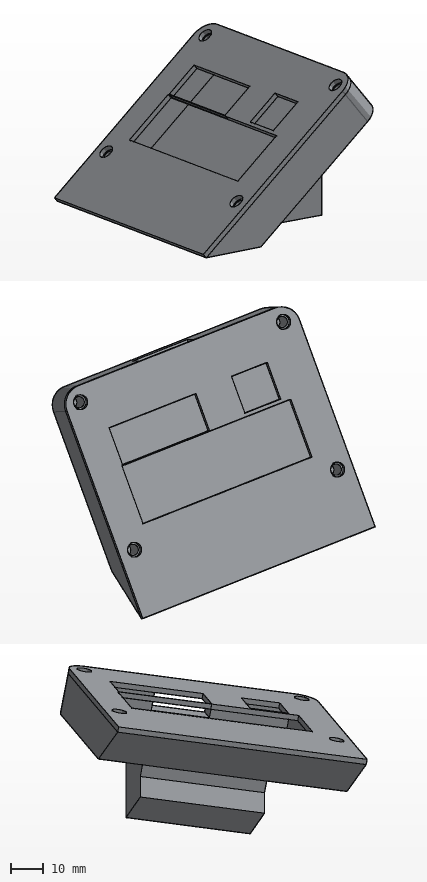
import cadquery as cq
import math

tilt = 40.0
width = 79.0
panel_length = 73.5
corner_radius = 6.0

plate_thickness = 1.65
plate_hole_diameter = 4.5

main_window = (10.35, 26.9, 57.4, 18.8)
left_window = (10.7, 46.0, 29.55, 12.0)
right_window = (52.6, 46.9, 12.2, 11.9)

case_depth = 12.9
base_length = 15.7
cavity_side_wall = 8.3
cavity_bottom = 23.3
cavity_top_wall = 6.8
cavity_depth = 8.0

slot_left = 27.6
slot_width = 18.5
slot_depth = 7.7

screw_hole_diameter = 3.4
screw_hole_depth = cavity_depth
screw_side_inset = 5.0
screw_rows = (20.55, 68.6)

foot_width = 39.5
foot_front = 41.6
foot_rear = 56.8
foot_joint_start = 36.35
foot_joint_length = 19.7

sin_tilt = math.sin(math.radians(tilt))
cos_tilt = math.cos(math.radians(tilt))


def sloped_plane(depth):
    """Plane parallel to the plate, `depth` behind its rear face; local Y runs up the slope."""
    return cq.Plane(
        origin=(0, depth * sin_tilt, -depth * cos_tilt),
        xDir=(1, 0, 0),
        normal=(0, -sin_tilt, cos_tilt),
    )


def sloped_point(slope, depth):
    """Y and Z of the point `slope` up the panel and `depth` behind the plate's rear face."""
    return (
        slope * cos_tilt + depth * sin_tilt,
        slope * sin_tilt - depth * cos_tilt,
    )


def sloped_box(left, lower, box_width, height, thickness):
    """Box from the plate's rear face; a positive thickness goes through the plate,
    a negative one into the case.
    """
    return (
        cq.Workplane(sloped_plane(0))
        .moveTo(left, lower)
        .rect(box_width, height, centered=False)
        .extrude(thickness)
    )


def rounded_slab(depth, thickness):
    """Full-size slab with two rounded upper corners, grown toward the front from `depth`."""
    straight_length = panel_length - corner_radius
    return (
        cq.Workplane(sloped_plane(depth))
        .lineTo(width, 0)
        .lineTo(width, straight_length)
        .radiusArc((width - corner_radius, panel_length), -corner_radius)
        .lineTo(corner_radius, panel_length)
        .radiusArc((0, straight_length), -corner_radius)
        .close()
        .extrude(thickness)
    )


def screw_cylinders(diameter, thickness):
    """Cylinders on the four screw axes, with the same thickness rule as `sloped_box`."""
    columns = (screw_side_inset, width - screw_side_inset)
    return (
        cq.Workplane(sloped_plane(0))
        .pushPoints([(x, row) for x in columns for row in screw_rows])
        .circle(diameter / 2)
        .extrude(thickness)
    )


def make_plate():
    plate = rounded_slab(0, plate_thickness)
    for window in (main_window, left_window, right_window):
        plate = plate.cut(sloped_box(*window, plate_thickness))
    return plate.cut(screw_cylinders(plate_hole_diameter, plate_thickness))


def make_case():
    side_profile = [
        sloped_point(0, 0),
        sloped_point(panel_length, 0),
        sloped_point(panel_length, case_depth),
        sloped_point(base_length, case_depth),
    ]
    side_prism = cq.Workplane("YZ").polyline(side_profile).close().extrude(width)
    case = rounded_slab(case_depth, case_depth).intersect(side_prism)

    cavity_top = panel_length - cavity_top_wall
    cavity = sloped_box(
        cavity_side_wall,
        cavity_bottom,
        width - 2 * cavity_side_wall,
        cavity_top - cavity_bottom,
        -cavity_depth,
    )
    slot = sloped_box(slot_left, cavity_top, slot_width, cavity_top_wall, -slot_depth)
    screw_holes = screw_cylinders(screw_hole_diameter, -screw_hole_depth)
    return case.cut(cavity).cut(slot).cut(screw_holes)


def make_foot():
    joint_front = sloped_point(foot_joint_start, case_depth)
    joint_rear = sloped_point(foot_joint_start + foot_joint_length, case_depth)

    def bend_height(joint, bend_y):
        """Height at which the line square to the slope through `joint` reaches `bend_y`."""
        return joint[1] - (bend_y - joint[0]) / math.tan(math.radians(tilt))

    profile = [
        (foot_front, 0),
        (foot_front, bend_height(joint_front, foot_front)),
        joint_front,
        joint_rear,
        (foot_rear, bend_height(joint_rear, foot_rear)),
        (foot_rear, 0),
    ]
    return (
        cq.Workplane("YZ", origin=((width - foot_width) / 2, 0, 0))
        .polyline(profile)
        .close()
        .extrude(foot_width)
    )


plate = make_plate()
case = make_case()
foot = make_foot()

result = cq.Compound.makeCompound([plate.val(), case.val(), foot.val()])